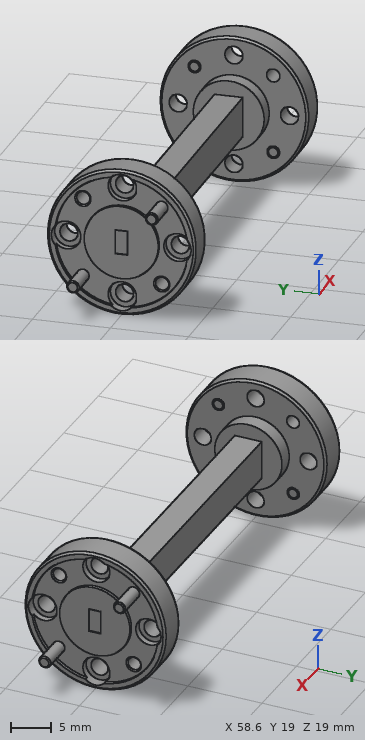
import cadquery as cq
import math

overall_length = 58.55
pin_projection = 3.8
face_x = overall_length / 2 - pin_projection

flange_diameter = 19.0
flange_thickness = 4.2
flange_chamfer = 0.3
back_x = -face_x + flange_thickness
hub_diameter = 9.1
hub_length = 2.1

guide_width = 3.65
guide_height = 5.15

boss_diameter = 9.5
rim_inner_diameter = 17.1
groove_depth = 0.45
floor_x = -face_x + groove_depth
aperture_width = 1.6
aperture_height = 3.1
aperture_depth = 0.2

pitch_radius = 7.15
screw_hole_diameter = 2.3
counterbore_diameter = 3.65
counterbore_depth = 1.4
pin_diameter = 1.6
pin_chamfer = 0.2
dowel_hole_diameter = 1.7
dowel_hole_chamfer = 0.2

screw_angles = [0, 90, 180, 270]
left_pin_angles = [135, 315]
right_pin_angles = [45, 225]


def rod(diameter, x_start, x_end, y=0.0, z=0.0):
    """Round bar along X, from x_start to the larger x_end."""
    return (
        cq.Workplane("YZ", origin=(x_start, y, z))
        .circle(diameter / 2)
        .extrude(x_end - x_start)
    )


def pitch_point(angle):
    """Y and Z of a point on the pitch circle."""
    turn = math.radians(angle)
    return pitch_radius * math.cos(turn), pitch_radius * math.sin(turn)


def cut_groove(flange):
    """Shallow ring that leaves a raised boss and an outer rim."""
    groove = rod(rim_inner_diameter, -face_x, floor_x)
    boss = rod(boss_diameter, -face_x, floor_x)
    return flange.cut(groove.cut(boss))


def cut_screw_hole(flange, angle):
    """Through hole counterbored from the mating face."""
    y, z = pitch_point(angle)
    hole = rod(screw_hole_diameter, -face_x, back_x, y, z)
    counterbore = rod(counterbore_diameter, -face_x, -face_x + counterbore_depth, y, z)
    return flange.cut(hole).cut(counterbore)


def cut_pin_seat(flange, angle):
    """Straight through hole, a close fit on one of the flange's own pins."""
    return flange.cut(rod(pin_diameter, -face_x, back_x, *pitch_point(angle)))


def cut_dowel_hole(flange, angle):
    """Countersunk through hole for a pin of the mating flange."""
    y, z = pitch_point(angle)
    radius = dowel_hole_diameter / 2
    hole = rod(dowel_hole_diameter, floor_x, back_x, y, z)
    countersink = cq.Workplane(cq.Solid.makeCone(
        radius + dowel_hole_chamfer,
        radius,
        dowel_hole_chamfer,
        pnt=cq.Vector(floor_x, y, z),
        dir=cq.Vector(1, 0, 0),
    ))
    return flange.cut(hole).cut(countersink)


def cut_aperture(flange):
    """Shallow rectangular waveguide port in the middle of the boss."""
    port = (
        cq.Workplane("YZ", origin=(-face_x, 0, 0))
        .rect(aperture_width, aperture_height)
        .extrude(aperture_depth)
    )
    return flange.cut(port)


def make_flange(pin_angles, open_angles):
    """Flange with its hub, mating face toward -X."""
    disc = rod(flange_diameter, -face_x, back_x).edges().chamfer(flange_chamfer)
    hub = rod(hub_diameter, back_x, back_x + hub_length)
    flange = cut_groove(disc.union(hub))
    for angle in screw_angles:
        flange = cut_screw_hole(flange, angle)
    for angle in pin_angles:
        flange = cut_pin_seat(flange, angle)
    for angle in open_angles:
        flange = cut_dowel_hole(flange, angle)
    return cut_aperture(flange)


def make_waveguide():
    """One-piece body: guide tube with a flange at each end."""
    left_flange = make_flange(left_pin_angles, right_pin_angles)
    right_flange = make_flange(right_pin_angles, left_pin_angles).mirror("YZ")
    tube = cq.Workplane("XY").box(-2 * back_x, guide_width, guide_height)
    return tube.union(left_flange).union(right_flange)


def make_pin(angle):
    """Dowel pin of the -X flange, chamfered at both ends and flush with the flange back."""
    pin = rod(pin_diameter, -overall_length / 2, back_x, *pitch_point(angle))
    return pin.edges().chamfer(pin_chamfer)


waveguide = make_waveguide()

pins = []
for angle in left_pin_angles:
    pins.append(make_pin(angle).val())
for angle in right_pin_angles:
    pins.append(make_pin(angle).mirror("YZ").val())

result = cq.Compound.makeCompound([waveguide.val(), *pins])